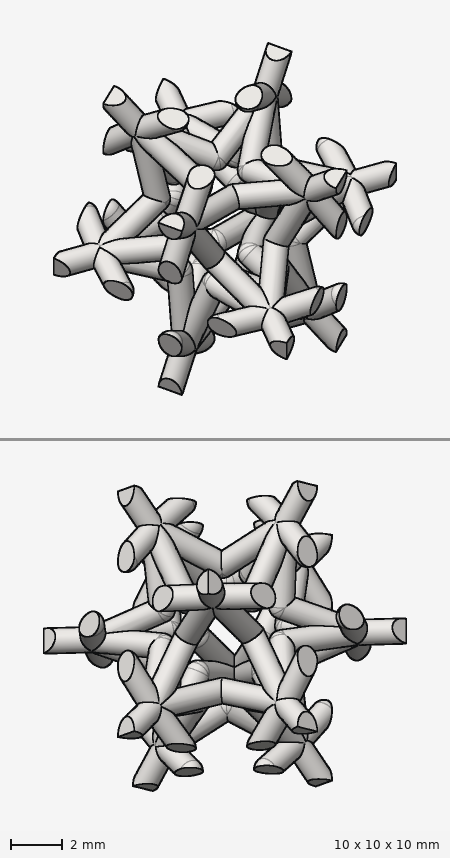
import cadquery as cq

cube_side = 10.0
strut_diameter = 1.0
hub_offset = 3.62
bend_shift = 1.07
arm_end = 2.11

half_side = cube_side / 2
strut_radius = strut_diameter / 2
mitre_allowance = strut_diameter
cutter_side = 4 * cube_side
bend_near = hub_offset / 2 - bend_shift
bend_far = hub_offset - bend_shift

ORIGIN = (0, 0, 0)
CUBE_DIAGONAL = (1, 1, 1)

hub = cq.Vector(hub_offset, hub_offset, 0)
strut_ends = [cq.Vector(half_side, half_side, 0)]
strut_ends += [cq.Vector(half_side, arm_end, 0), cq.Vector(arm_end, half_side, 0)]
for side in (-1, 1):
    strut_ends.append(cq.Vector(bend_far, bend_near, side * bend_near))
    strut_ends.append(cq.Vector(bend_near, bend_far, side * bend_near))


def strut(end):
    """Round bar from behind the hub to a rounded tip around its end point."""
    axis = end - hub
    length = axis.Length
    profile = (
        cq.Workplane(cq.Plane(origin=hub, normal=axis))
        .transformed(rotate=(90, 0, 0))
        .moveTo(0, -mitre_allowance)
        .lineTo(strut_radius, -mitre_allowance)
        .lineTo(strut_radius, length)
        .radiusArc((0, length + strut_radius), -strut_radius)
        .close()
    )
    return profile.revolve(360, (0, 0), (0, 1))


def half_space(normal):
    """Block, larger than the cube, on the side of the hub that the normal points to."""
    face = cq.Workplane(cq.Plane(origin=hub, normal=normal))
    return face.rect(cutter_side, cutter_side).extrude(cutter_side)


def hub_region():
    """The share of the cube that belongs to the hub at +X +Y: where X and Y both exceed |Z|."""
    triangle = [(0, 0), (half_side, half_side), (half_side, -half_side)]
    x_wedge = cq.Workplane("XZ").polyline(triangle).close().extrude(-half_side)
    y_wedge = cq.Workplane("YZ").polyline(triangle).close().extrude(half_side)
    return x_wedge.intersect(y_wedge)


def mitred_strut(end):
    """One strut of the hub, mitred at the hub against all the others and trimmed to the hub's region."""
    direction = (end - hub).normalized()
    bar = strut(end).intersect(hub_region())
    for other_end in strut_ends:
        if other_end is not end:
            bar = bar.cut(half_space((other_end - hub).normalized() - direction))
    return bar


bars = [mitred_strut(end) for end in strut_ends]
star = bars[0]
for bar in bars[1:]:
    star = star.union(bar)

stars = []
for diagonal_turn in (0, 120, 240):
    for quarter_turn in (0, 90, 180, 270):
        upright_star = star.rotate(ORIGIN, (0, 0, 1), quarter_turn)
        stars.append(upright_star.rotate(ORIGIN, CUBE_DIAGONAL, diagonal_turn).val())

result = cq.Workplane(stars[0].fuse(*stars[1:]))